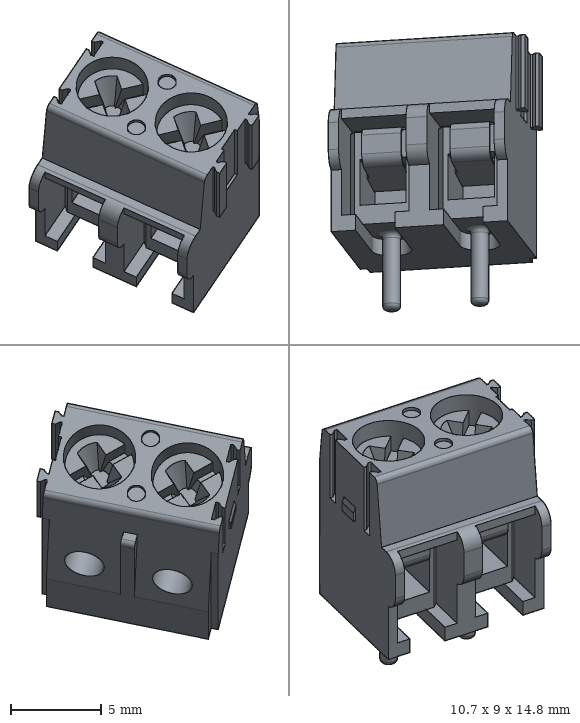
import cadquery as cq
import math


overall_height = 14.8

pole_pitch = 5.0
housing_width = 2 * pole_pitch
housing_height = 11.3
front_wall_y = -4.25
nose_y = -5.0
nose_radius = 0.99
nose_bottom_z = 4.51
ledge_z = 7.07
top_front_y = -2.97
ledge_back_y = -3.5
top_back_y = 3.0
back_y = 4.0
slope_foot_z = 3.29
crown_radius = 0.34

side_step_y = 3.29
side_step_depth = 0.4
rib_width = 0.8
rib_top_z = 9.31
rib_radius = 0.3
back_hole_radius = 1.12
back_hole_z = 5.48

dovetail_y = 1.85
groove_neck, groove_mouth = 0.59, 1.1
groove_straight, groove_taper, groove_depth = 0.18, 0.43, 0.59
key_neck, key_head = 0.4, 0.8
key_straight, key_taper, key_length = 0.12, 0.34, 0.55

bump_depth, bump_width = 0.12, 1.26
bump_bottom_z, bump_shoulder_z, bump_top_z = 7.16, 7.71, 8.07
side_groove_depth, side_groove_width = 0.16, 1.5

dimple_radius, dimple_depth, dimple_y = 0.5, 0.19, 1.76

chamber_width = 3.82
floor_z = 0.92
chamber_top_z = 6.5
cage_top_z = 6.25
cage_half_depth = 2.23
cage_chamfer = 0.3
wire_opening_width = 2.63
wire_opening_bottom_z, wire_opening_top_z = 2.03, 4.66
cage_back_wall = (chamber_width - wire_opening_width) / 2
pin_radius = 0.5
pin_tip_z = housing_height - overall_height
pin_tip_radius = 0.3
pin_root_radius = 0.33
pin_slot_width = 2.25

leaf_thickness = 0.15
leaf_top_z = cage_top_z + leaf_thickness
leaf_front_y = -1.92
leaf_corner_radius = 0.3
leaf_root_radius = 0.27
tongue_width = 2.23
tongue_front_y = -2.65
tongue_top_radius = 0.45
tongue_curl_radius = 0.64
tongue_curl_z = 4.85
tongue_tail_slope = 8.1
tongue_tail_end_y = 1.11
tongue_pad_width = 2.49
tongue_pad_front_y = -0.74

screw_head_radius = 1.91
screw_hole_radius = 2.0
screw_sink = 0.99
screw_top_z = housing_height - screw_sink
screw_head_height = 1.98
screw_seat_z = screw_top_z - screw_head_height
shank_radius = 1.3
shank_tip_z = 4.26
slot_width = 0.71
slot_depth = 0.99
recess_top_radius, recess_bottom_radius = 1.44, 0.56
recess_depth = 1.65
recess_arm_top_width, recess_arm_bottom_width = 1.29, 0.53
slot_angle = 45.0

pole_xs = [-pole_pitch / 2, pole_pitch / 2]
side_x = housing_width / 2


def box(x_range, y_range, z_range):
    """Box between the given limits along X, Y and Z."""
    spans = [high - low for low, high in (x_range, y_range, z_range)]
    return cq.Workplane("XY").box(*spans, centered=False).translate((x_range[0], y_range[0], z_range[0]))


def rod(radius, x, y, bottom_z, top_z):
    """Vertical cylinder."""
    return cq.Workplane("XY", origin=(x, y, bottom_z)).circle(radius).extrude(top_z - bottom_z)


def housing_block():
    """Extruded side outline with the rounded nose and sloping upper walls."""
    nose_centre_y = nose_y + nose_radius
    nose_top_z = ledge_z - nose_radius
    diagonal = nose_radius * math.sqrt(0.5)
    front_angle = math.acos((nose_centre_y - front_wall_y) / nose_radius)

    def lower_nose_point(angle):
        return (nose_centre_y - nose_radius * math.cos(angle), nose_bottom_z - nose_radius * math.sin(angle))

    return (
        cq.Workplane("YZ", origin=(-side_x, 0, 0))
        .moveTo(front_wall_y, 0)
        .lineTo(back_y, 0)
        .lineTo(back_y, slope_foot_z)
        .lineTo(top_back_y, housing_height)
        .lineTo(top_front_y, housing_height)
        .lineTo(ledge_back_y, ledge_z)
        .lineTo(nose_centre_y, ledge_z)
        .threePointArc((nose_centre_y - diagonal, nose_top_z + diagonal), (nose_y, nose_top_z))
        .lineTo(nose_y, nose_bottom_z)
        .threePointArc(lower_nose_point(front_angle / 2), lower_nose_point(front_angle))
        .close()
        .extrude(housing_width)
        .faces(">Z").edges("|X").fillet(crown_radius)
    )


def back_rib():
    """Upright rib that fills the wedge behind the sloping back wall."""
    rib = box((-rib_width / 2, rib_width / 2), (0, back_y), (slope_foot_z, rib_top_z))
    return rib.edges("|X and >Y and >Z").fillet(rib_radius)


def back_corner_cuts():
    """Steps that narrow the back of the housing on both sides."""
    inner_x = side_x - side_step_depth
    y_range = (side_step_y, back_y)
    z_range = (0, housing_height)
    left = box((-side_x, -inner_x), y_range, z_range)
    right = box((inner_x, side_x), y_range, z_range)
    return left.union(right)


def dovetail(x, y, neck, head, straight, taper, length):
    """Vertical dovetail from the ledge to the top, growing in +X from its neck at x."""
    return (
        cq.Workplane("XY", origin=(x, y, ledge_z))
        .polyline([
            (0, -neck / 2),
            (straight, -neck / 2),
            (taper, -head / 2),
            (length, -head / 2),
            (length, head / 2),
            (taper, head / 2),
            (straight, neck / 2),
            (0, neck / 2),
        ])
        .close()
        .extrude(housing_height - ledge_z)
    )


def locating_bump():
    """Bump on the -X side with a sloping top."""
    return (
        cq.Workplane("XZ", origin=(0, bump_width / 2, 0))
        .polyline([
            (-side_x, bump_bottom_z),
            (-side_x - bump_depth, bump_bottom_z),
            (-side_x - bump_depth, bump_shoulder_z),
            (-side_x, bump_top_z),
        ])
        .close()
        .extrude(bump_width)
    )


def pole_cavity(x):
    """Everything removed from the housing for one pole."""
    half_width = chamber_width / 2
    x_range = (x - half_width, x + half_width)
    chamber = box(x_range, (nose_y, cage_half_depth), (floor_z, chamber_top_z))
    nose_gap = box(x_range, (nose_y, front_wall_y), (0, housing_height))
    head_hole = rod(screw_hole_radius, x, 0, screw_seat_z, housing_height)
    shank_hole = rod(shank_radius, x, 0, chamber_top_z, screw_seat_z)
    slot_half = pin_slot_width / 2
    pin_slot = box((x - slot_half, x + slot_half), (nose_y, 0), (0, floor_z))
    pin_slot_end = rod(slot_half, x, 0, 0, floor_z)
    back_hole = (
        cq.Workplane("XZ", origin=(x, back_y, back_hole_z))
        .circle(back_hole_radius)
        .extrude(back_y - cage_half_depth)
    )
    cavity = chamber
    for cut in (nose_gap, head_hole, shank_hole, pin_slot, pin_slot_end, back_hole):
        cavity = cavity.union(cut)
    return cavity


def make_housing():
    housing = housing_block().union(back_rib()).cut(back_corner_cuts())
    for y in (-dovetail_y, dovetail_y):
        groove = dovetail(
            -side_x, y, groove_neck, groove_mouth, groove_straight, groove_taper, groove_depth
        )
        key = dovetail(side_x, y, key_neck, key_head, key_straight, key_taper, key_length)
        housing = housing.cut(groove).union(key)
    housing = housing.union(locating_bump())
    side_groove_half = side_groove_width / 2
    side_groove = box(
        (side_x - side_groove_depth, side_x), (-side_groove_half, side_groove_half), (ledge_z, housing_height)
    )
    housing = housing.cut(side_groove)
    for y in (-dimple_y, dimple_y):
        housing = housing.cut(rod(dimple_radius, 0, y, housing_height - dimple_depth, housing_height))
    for x in pole_xs:
        housing = housing.cut(pole_cavity(x))
    return housing


def cage():
    """Block with a wire opening in front and chamfered front corners."""
    half_width = chamber_width / 2
    half_opening = wire_opening_width / 2
    block = box((-half_width, half_width), (-cage_half_depth, cage_half_depth), (floor_z, cage_top_z))
    block = block.edges("|Z and <Y").chamfer(cage_chamfer)
    opening = box(
        (-half_opening, half_opening),
        (-cage_half_depth, cage_half_depth - cage_back_wall),
        (wire_opening_bottom_z, wire_opening_top_z),
    )
    return block.cut(opening)


def pin():
    """Solder pin with a rounded tip and a flared root."""
    root_z = floor_z - pin_root_radius
    flare_radius = pin_radius + pin_root_radius
    bend = pin_root_radius * (1 - math.sqrt(0.5))
    tip_bend = pin_tip_radius * (1 - math.sqrt(0.5))
    tip_middle = (pin_radius - tip_bend, pin_tip_z + tip_bend)
    return (
        cq.Workplane("XZ")
        .moveTo(0, pin_tip_z)
        .lineTo(pin_radius - pin_tip_radius, pin_tip_z)
        .threePointArc(tip_middle, (pin_radius, pin_tip_z + pin_tip_radius))
        .lineTo(pin_radius, root_z)
        .threePointArc((pin_radius + bend, floor_z - bend), (flare_radius, floor_z))
        .lineTo(0, floor_z)
        .close()
        .revolve(360, (0, 0, 0), (0, 1, 0))
    )


def leaf_plate():
    """Flat part of the leaf on top of the cage, with the root of the tongue."""
    half_width = chamber_width / 2
    half_tongue = tongue_width / 2
    bend_y = tongue_front_y + tongue_top_radius
    z_range = (cage_top_z, leaf_top_z)
    plate = box((-half_width, half_width), (leaf_front_y, cage_half_depth), z_range)
    plate = plate.edges("|Z and <Y").fillet(leaf_corner_radius)
    root = box((-half_tongue, half_tongue), (bend_y, 0), z_range)
    reach = half_tongue + leaf_root_radius
    corners = cq.selectors.BoxSelector(
        (-reach, leaf_front_y - leaf_root_radius / 2, cage_top_z - leaf_thickness),
        (reach, leaf_front_y + leaf_root_radius / 2, leaf_top_z + leaf_thickness),
    )
    return plate.union(root).edges("|Z").edges(corners).fillet(leaf_root_radius)


def tongue():
    """Bent strip that hangs in front of the cage and curls back below the screw."""
    slope = math.radians(tongue_tail_slope)
    top_y = tongue_front_y + tongue_top_radius
    top_z = leaf_top_z - tongue_top_radius
    curl_y = tongue_front_y + tongue_curl_radius

    def top_bend(radius):
        diagonal = radius * math.sqrt(0.5)
        return (top_y - diagonal, top_z + diagonal)

    def curl(radius, angle):
        return (curl_y - radius * math.cos(angle), tongue_curl_z - radius * math.sin(angle))

    inner_top = tongue_top_radius - leaf_thickness
    inner_curl = tongue_curl_radius - leaf_thickness
    curl_angle = math.pi / 2 - slope
    outer_end = curl(tongue_curl_radius, curl_angle)
    inner_end = curl(inner_curl, curl_angle)
    tail_outer_z = outer_end[1] - (tongue_tail_end_y - outer_end[0]) * math.tan(slope)
    tail_inner_z = tail_outer_z + leaf_thickness / math.cos(slope)

    def strip(width):
        return (
            cq.Workplane("YZ", origin=(-width / 2, 0, 0))
            .moveTo(top_y, leaf_top_z)
            .threePointArc(top_bend(tongue_top_radius), (tongue_front_y, top_z))
            .lineTo(tongue_front_y, tongue_curl_z)
            .threePointArc(curl(tongue_curl_radius, curl_angle / 2), outer_end)
            .lineTo(tongue_tail_end_y, tail_outer_z)
            .lineTo(tongue_tail_end_y, tail_inner_z)
            .lineTo(*inner_end)
            .threePointArc(curl(inner_curl, curl_angle / 2), curl(inner_curl, 0))
            .lineTo(tongue_front_y + leaf_thickness, top_z)
            .threePointArc(top_bend(inner_top), (top_y, cage_top_z))
            .close()
            .extrude(width)
        )

    pad_half = tongue_pad_width / 2
    pad_region = box((-pad_half, pad_half), (tongue_pad_front_y, tongue_tail_end_y), (0, cage_top_z))
    pad = strip(tongue_pad_width).intersect(pad_region)
    return strip(tongue_width).union(pad)


def make_terminal():
    screw_hole = rod(shank_radius, 0, 0, wire_opening_top_z, leaf_top_z)
    return cage().union(leaf_plate()).cut(screw_hole).union(tongue()).union(pin())


def driver_recess():
    """Conical recess that fills the slot band and a wedge-sided arm across it."""
    bottom_z = screw_top_z - recess_depth
    cone = (
        cq.Workplane("XY", origin=(0, 0, bottom_z))
        .circle(recess_bottom_radius)
        .workplane(offset=recess_depth)
        .circle(recess_top_radius)
        .loft()
    )
    reach = recess_top_radius
    half_slot = slot_width / 2
    slot_band = box((-reach, reach), (-half_slot, half_slot), (bottom_z, screw_top_z))
    arm = (
        cq.Workplane("XZ", origin=(0, reach, 0))
        .polyline([
            (-recess_arm_bottom_width / 2, bottom_z),
            (recess_arm_bottom_width / 2, bottom_z),
            (recess_arm_top_width / 2, screw_top_z),
            (-recess_arm_top_width / 2, screw_top_z),
        ])
        .close()
        .extrude(2 * reach)
    )
    return cone.intersect(slot_band.union(arm))


def make_screw():
    head = rod(screw_head_radius, 0, 0, screw_seat_z, screw_top_z)
    shank = rod(shank_radius, 0, 0, shank_tip_z, screw_seat_z)
    half_slot = slot_width / 2
    slot = box(
        (-screw_head_radius, screw_head_radius),
        (-half_slot, half_slot),
        (screw_top_z - slot_depth, screw_top_z),
    )
    screw = head.union(shank).cut(slot).cut(driver_recess())
    return screw.rotate((0, 0, 0), (0, 0, 1), slot_angle)


housing = make_housing().solids().val()
terminals = [make_terminal().translate((x, 0, 0)).solids().val() for x in pole_xs]
screws = [make_screw().translate((x, 0, 0)).solids().val() for x in pole_xs]
result = cq.Compound.makeCompound([housing, *terminals, *screws])